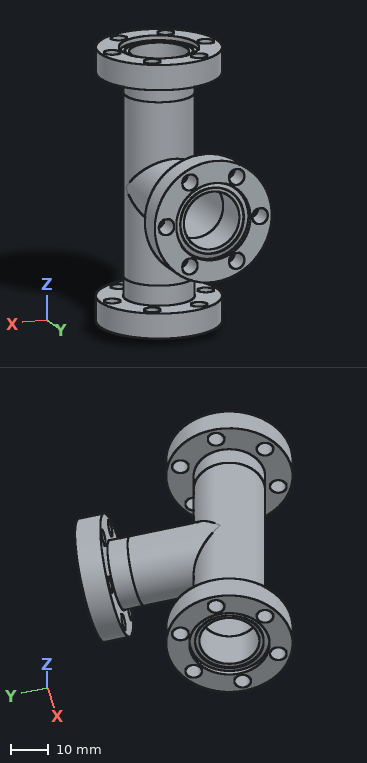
import cadquery as cq
import math

port_reach = 38.1
port_stub_length = 12.6
tube_end = port_reach - port_stub_length

tube_diameter = 19.05
bore_diameter = 16.0

flange_diameter = 33.75
flange_thickness = 7.0
flange_recess_diameter = 21.4
flange_recess_depth = flange_thickness / 2
flange_neck_hole_diameter = 19.1

bolt_count = 6
bolt_hole_diameter = 4.4
bolt_circle_diameter = 27.0

insert_head_diameter = 21.3
knife_edge_diameter = 18.3
knife_edge_depth = 0.85
sealing_floor_depth = 1.2
knife_slope_degrees = 20.0
knife_slope_width = (insert_head_diameter - knife_edge_diameter) / 2
head_rim_depth = knife_edge_depth + knife_slope_width * math.tan(math.radians(knife_slope_degrees))

port_rotations = [0, 180, -90]


def crossing_cylinders(diameter):
    """Vertical cylinder joined by a cylinder of the same diameter along +Y."""
    radius = diameter / 2
    run = cq.Workplane("XY").circle(radius).extrude(tube_end, both=True)
    branch = cq.Workplane("XZ").circle(radius).extrude(-tube_end)
    return run.union(branch)


def make_tee():
    return crossing_cylinders(tube_diameter).cut(crossing_cylinders(bore_diameter))


def make_flange():
    """Ring on the upper port, with its head recess opening upward."""
    ring = cq.Workplane("XY").workplane(offset=port_reach)
    ring = ring.circle(flange_diameter / 2).extrude(-flange_thickness)
    ring = ring.faces(">Z").workplane().cboreHole(
        flange_neck_hole_diameter, flange_recess_diameter, flange_recess_depth
    )
    return (
        ring.faces(">Z").workplane()
        .polarArray(bolt_circle_diameter / 2, 0, 360, bolt_count)
        .hole(bolt_hole_diameter)
    )


def make_insert():
    """Revolved sleeve from the tube end to the knife edge of the upper port."""
    bore_radius = bore_diameter / 2
    neck_radius = tube_diameter / 2
    head_radius = insert_head_diameter / 2
    knife_radius = knife_edge_diameter / 2
    head_bottom = port_reach - flange_recess_depth
    sealing_floor = port_reach - sealing_floor_depth
    profile = [
        (bore_radius, tube_end),
        (neck_radius, tube_end),
        (neck_radius, head_bottom),
        (head_radius, head_bottom),
        (head_radius, port_reach - head_rim_depth),
        (knife_radius, port_reach - knife_edge_depth),
        (knife_radius, sealing_floor),
        (bore_radius, sealing_floor),
    ]
    return cq.Workplane("XZ").polyline(profile).close().revolve(360, (0, 0, 0), (0, 1, 0))


def at_port(body, rotation):
    return body.rotate((0, 0, 0), (1, 0, 0), rotation)


tee = make_tee().solids().val()
flanges = [at_port(make_flange(), rotation).solids().val() for rotation in port_rotations]
inserts = [at_port(make_insert(), rotation).solids().val() for rotation in port_rotations]

result = cq.Compound.makeCompound([tee, *flanges, *inserts])